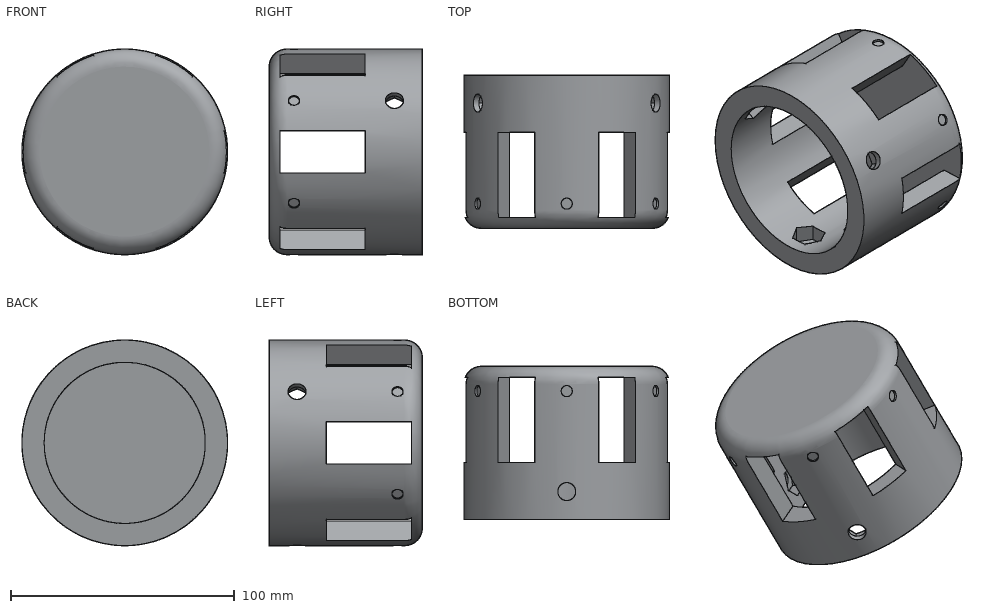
import cadquery as cq
import math

outer_diameter = 92.0
length = 68.5
bore_diameter = 72.0
floor_thickness = 5.0
rim_radius = 8.0

window_count = 6
window_width = 18.9
window_end = 43.0

blind_hole_diameter = 5.0
blind_hole_depth = 1.0
blind_hole_y = 11.1

through_hole_count = 3
through_hole_diameter = 8.0
through_hole_y = 56.0

nut_width_across_flats = 13.0
nut_seat_depth = 3.0

first_rib_angle = 180 / window_count
outer_radius = outer_diameter / 2


def cylinder_along_y(diameter, start, end):
    return cq.Workplane("XZ", origin=(0, start, 0)).circle(diameter / 2).extrude(start - end)


def spread_around_axis(shape, count, first_angle):
    """Copies of a shape pointing along +X, evenly turned about Y from +X towards +Z."""
    copies = []
    for index in range(count):
        angle = first_angle + index * 360 / count
        copies.append(shape.rotate((0, 0, 0), (0, 1, 0), -angle))
    return copies


def radial_hole(diameter, y, start_radius):
    """Cylinder along +X from start_radius to the outer surface."""
    plane = cq.Workplane("YZ", origin=(start_radius, y, 0))
    return plane.circle(diameter / 2).extrude(outer_radius - start_radius)


body = cylinder_along_y(outer_diameter, 0, length).faces("<Y").edges().fillet(rim_radius)
body = body.cut(cylinder_along_y(bore_diameter, floor_thickness, length))

window = cq.Workplane("XY").box(
    outer_radius, window_end - floor_thickness, window_width, centered=(False, False, True)
).translate((0, floor_thickness, 0))
blind_hole = radial_hole(blind_hole_diameter, blind_hole_y, outer_radius - blind_hole_depth)
through_hole = radial_hole(through_hole_diameter, through_hole_y, 0)

nut_width_across_corners = nut_width_across_flats / math.cos(math.pi / 6)
nut_pocket = (
    cq.Workplane(cq.Plane(origin=(0, through_hole_y, 0), xDir=(0, 0, 1), normal=(1, 0, 0)))
    .polygon(6, nut_width_across_corners)
    .extrude(outer_radius - nut_seat_depth)
)

cutters = (
    spread_around_axis(window, window_count, 0)
    + spread_around_axis(blind_hole, window_count, first_rib_angle)
    + spread_around_axis(through_hole, through_hole_count, first_rib_angle)
    + spread_around_axis(nut_pocket, through_hole_count, first_rib_angle)
)
for cutter in cutters:
    body = body.cut(cutter)

result = body